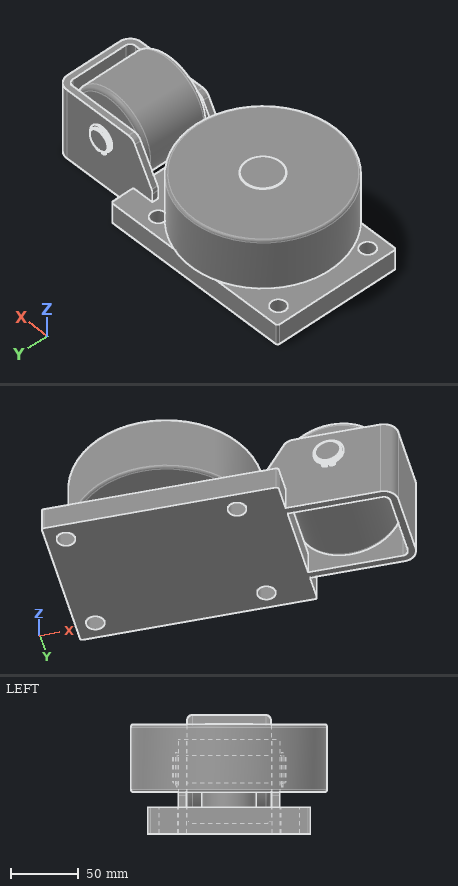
import cadquery as cq
import math

PLATE_LENGTH = 180.0
PLATE_WIDTH = 120.0
PLATE_THICKNESS = 20.0
PLATE_CORNER_RADIUS = 2.0
BOLT_HOLE_DIAMETER = 13.84
BOLT_HOLE_EDGE_DISTANCE = 15.0
BOLT_SPACING_X = 130.0

WHEEL_X = 80.0
WHEEL_DIAMETER = 145.0
WHEEL_WIDTH = 50.0
WHEEL_BOTTOM_Z = 31.0
WHEEL_EDGE_RADIUS = 2.0
POST_DIAMETER = 40.0
STUD_DIAMETER = 35.0
STUD_PROTRUSION = 0.5
PIN_CHAMFER = 0.5

BRACKET_LEFT_X = 159.3
BRACKET_RIGHT_X = 263.0
BRACKET_HEIGHT = 70.0
BRACKET_WIDTH = 75.0
BRACKET_SHEET = 6.0
BEND_INNER_RADIUS = 5.0
BEND_OUTER_RADIUS = BEND_INNER_RADIUS + BRACKET_SHEET
ARM_SLOPE_ANGLE = 61.2
ARM_TOP_CORNER_X = 180.8
ARM_CORNER_RADIUS = 8.0

ROLLER_X = 213.0
ROLLER_Z = 48.0
ROLLER_DIAMETER = 80.0
ROLLER_END_CLEARANCE = 0.5
ROLLER_WIDTH = BRACKET_WIDTH - 2 * BRACKET_SHEET - 2 * ROLLER_END_CLEARANCE
ROLLER_EDGE_RADIUS = 4.0
ROLLER_BORE = 20.3
AXLE_DIAMETER = 20.0
AXLE_LENGTH = 83.5

GROOVE_DIAMETER = 19.0
RING_THICKNESS = 1.2
RING_TO_ARM_GAP = 1.0
RING_INNER_FACE_Y = BRACKET_WIDTH / 2 + RING_TO_ARM_GAP
RING_OUTER_RADIUS = 11.5
RING_ECCENTRICITY = 0.8
RING_GAP = 2.4
RING_EAR_HALF_WIDTH = 5.1
RING_EAR_DEPTH = 13.2
RING_EAR_RADIUS = 2.0
EAR_HOLE_DIAMETER = 2.0
EAR_HOLE_X = 2.9
EAR_HOLE_DEPTH = 11.4


def y_cylinder(diameter, length):
    """Cylinder along Y on the roller axis, centred on Y = 0."""
    return (
        cq.Workplane("XZ", origin=(ROLLER_X, length / 2, ROLLER_Z))
        .circle(diameter / 2)
        .extrude(length)
    )


def make_plate():
    bolt_spacing_y = PLATE_WIDTH - 2 * BOLT_HOLE_EDGE_DISTANCE
    bolt_centre_x = BOLT_HOLE_EDGE_DISTANCE + BOLT_SPACING_X / 2
    plate = (
        cq.Workplane("XY")
        .box(PLATE_LENGTH, PLATE_WIDTH, PLATE_THICKNESS, centered=(False, True, False))
        .edges("|Z")
        .fillet(PLATE_CORNER_RADIUS)
    )
    bolt_holes = (
        cq.Workplane("XY", origin=(bolt_centre_x, 0, 0))
        .rarray(BOLT_SPACING_X, bolt_spacing_y, 2, 2)
        .circle(BOLT_HOLE_DIAMETER / 2)
        .extrude(PLATE_THICKNESS)
    )
    return plate.cut(bolt_holes)


def make_main_wheel():
    """Wheel with the post below it and the stud end standing proud on top."""
    post = (
        cq.Workplane("XY", origin=(WHEEL_X, 0, PLATE_THICKNESS))
        .circle(POST_DIAMETER / 2)
        .extrude(WHEEL_BOTTOM_Z - PLATE_THICKNESS)
    )
    wheel = (
        cq.Workplane("XY", origin=(WHEEL_X, 0, WHEEL_BOTTOM_Z))
        .circle(WHEEL_DIAMETER / 2)
        .extrude(WHEEL_WIDTH)
        .edges()
        .fillet(WHEEL_EDGE_RADIUS)
    )
    stud = (
        cq.Workplane("XY", origin=(WHEEL_X, 0, WHEEL_BOTTOM_Z))
        .circle(STUD_DIAMETER / 2)
        .extrude(WHEEL_WIDTH + STUD_PROTRUSION)
        .faces(">Z")
        .chamfer(PIN_CHAMFER)
    )
    return post.union(wheel).union(stud)


def make_bracket():
    """Two sloped arms joined by a web at the right, bent with rounded corners."""
    length = BRACKET_RIGHT_X - BRACKET_LEFT_X
    outer = (
        cq.Workplane("XY", origin=(BRACKET_LEFT_X, 0, 0))
        .box(length, BRACKET_WIDTH, BRACKET_HEIGHT, centered=(False, True, False))
        .edges("|Z and >X")
        .fillet(BEND_OUTER_RADIUS)
    )
    inner = (
        cq.Workplane("XY", origin=(BRACKET_LEFT_X, 0, 0))
        .box(
            length - BRACKET_SHEET,
            BRACKET_WIDTH - 2 * BRACKET_SHEET,
            BRACKET_HEIGHT,
            centered=(False, True, False),
        )
        .edges("|Z and >X")
        .fillet(BEND_INNER_RADIUS)
    )
    slope_run = ARM_TOP_CORNER_X - BRACKET_LEFT_X
    slope_bottom_z = BRACKET_HEIGHT - slope_run * math.tan(math.radians(ARM_SLOPE_ANGLE))
    profile = (
        cq.Workplane("XZ")
        .moveTo(BRACKET_LEFT_X, 0)
        .lineTo(BRACKET_RIGHT_X, 0)
        .lineTo(BRACKET_RIGHT_X, BRACKET_HEIGHT)
        .lineTo(ARM_TOP_CORNER_X, BRACKET_HEIGHT)
        .lineTo(BRACKET_LEFT_X, slope_bottom_z)
        .close()
        .extrude(BRACKET_WIDTH / 2, both=True)
    )
    sloped_corners = cq.selectors.BoxSelector(
        (BRACKET_LEFT_X - BRACKET_SHEET, -BRACKET_WIDTH, slope_bottom_z - BRACKET_SHEET),
        (ARM_TOP_CORNER_X + BRACKET_SHEET, BRACKET_WIDTH, BRACKET_HEIGHT + BRACKET_SHEET),
    )
    profile = profile.edges("|Y").edges(sloped_corners).fillet(ARM_CORNER_RADIUS)
    return outer.cut(inner).intersect(profile)


def make_axle():
    axle = y_cylinder(AXLE_DIAMETER, AXLE_LENGTH).faces("<Y or >Y").chamfer(PIN_CHAMFER)
    groove_outer_face_y = RING_INNER_FACE_Y + RING_THICKNESS
    grooves = (
        y_cylinder(AXLE_DIAMETER, 2 * groove_outer_face_y)
        .cut(y_cylinder(AXLE_DIAMETER, 2 * RING_INNER_FACE_Y))
        .cut(y_cylinder(GROOVE_DIAMETER, 2 * groove_outer_face_y))
    )
    return axle.cut(grooves)


def make_ring(upper_face_y):
    """Open retaining ring with two holed ears below the axle, lying on the -Y side of upper_face_y."""
    plane = cq.Workplane("XZ", origin=(ROLLER_X, upper_face_y, ROLLER_Z))
    band = plane.center(0, RING_ECCENTRICITY).circle(RING_OUTER_RADIUS).extrude(RING_THICKNESS)
    ears = (
        plane.center(0, -RING_EAR_DEPTH / 2)
        .rect(2 * RING_EAR_HALF_WIDTH, RING_EAR_DEPTH)
        .extrude(RING_THICKNESS)
        .edges("|Y and <Z")
        .fillet(RING_EAR_RADIUS)
    )
    gap = plane.center(0, -RING_EAR_DEPTH / 2).rect(RING_GAP, RING_EAR_DEPTH).extrude(RING_THICKNESS)
    ear_holes = (
        plane.pushPoints([(side * EAR_HOLE_X, -EAR_HOLE_DEPTH) for side in (-1, 1)])
        .circle(EAR_HOLE_DIAMETER / 2)
        .extrude(RING_THICKNESS)
    )
    seat = plane.circle(GROOVE_DIAMETER / 2).extrude(RING_THICKNESS)
    return band.union(ears).cut(gap).cut(ear_holes).cut(seat)


def make_frame():
    """Plate, main wheel, bracket, axle and retaining rings as one solid."""
    frame = make_plate().union(make_main_wheel()).union(make_bracket()).union(make_axle())
    for ring_face_y in (-RING_INNER_FACE_Y, RING_INNER_FACE_Y + RING_THICKNESS):
        frame = frame.union(make_ring(ring_face_y))
    return frame


def make_roller():
    """Roller with rounded rims, running on the axle with a small clearance."""
    roller = y_cylinder(ROLLER_DIAMETER, ROLLER_WIDTH).edges().fillet(ROLLER_EDGE_RADIUS)
    return roller.cut(y_cylinder(ROLLER_BORE, ROLLER_WIDTH))


frame = make_frame().solids()
roller = make_roller().solids()

result = cq.Compound.makeCompound([frame.val(), roller.val()])